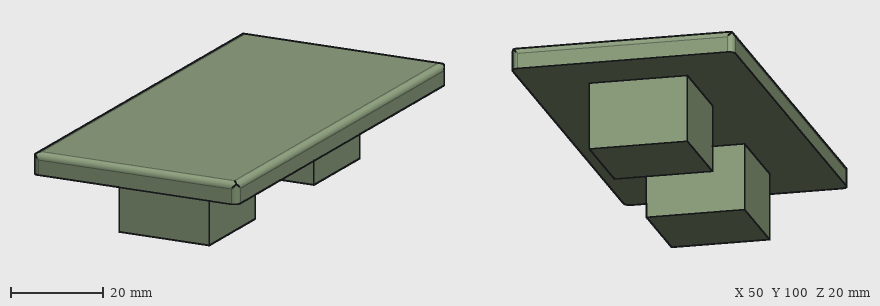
import cadquery as cq

plate_width = 50.0
plate_length = 2 * plate_width
plate_thickness = 5.0
edge_radius = 1.5

block_side = 22.0
block_height = 15.0
block_spacing = plate_length / 2


def rounded_plate(edge_selector):
    """Plate with its underside at Z = 0, rounded only on the selected edges."""
    plate = cq.Workplane("XY").box(
        plate_width, plate_length, plate_thickness, centered=(True, True, False)
    )
    return plate.edges(edge_selector).fillet(edge_radius)


def make_plate():
    """Plate whose three directions of rounding meet in sharp mitres at the top corners."""
    plate = rounded_plate("|Z")
    for top_edges in ("|X and >Z", "|Y and >Z"):
        plate = plate.intersect(rounded_plate(top_edges))
    return plate


def make_blocks():
    """Pair of square blocks hanging down from the plate's underside."""
    return (
        cq.Workplane("XY")
        .rarray(1, block_spacing, 1, 2)
        .rect(block_side, block_side)
        .extrude(-block_height)
    )


result = make_plate().union(make_blocks())